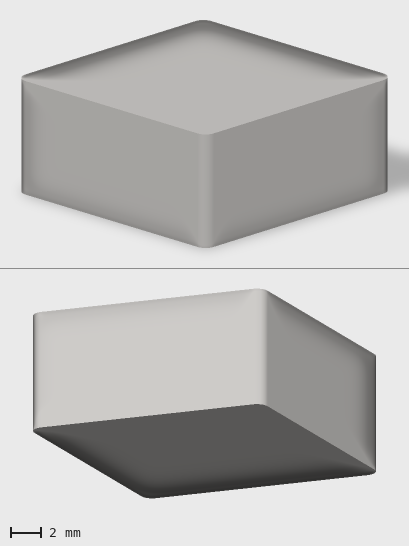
import cadquery as cq
import math

inscribed_circle = 15.875
thickness = 7.94
corner_angle = 80.0
corner_radius = 0.794

angle = math.radians(corner_angle)
side_length = inscribed_circle / math.sin(angle)
half_side = side_length / 2
half_height = inscribed_circle / 2
half_lean = side_length * math.cos(angle) / 2


def make_insert():
    """Extrude the rhombus, centred on Z, and round its four upright edges."""
    corners = [
        (-half_side - half_lean, -half_height),
        (half_side - half_lean, -half_height),
        (half_side + half_lean, half_height),
        (-half_side + half_lean, half_height),
    ]
    block = cq.Workplane("XY").workplane(offset=-thickness / 2).polyline(corners).close().extrude(thickness)
    return block.edges("|Z").fillet(corner_radius)


result = make_insert()